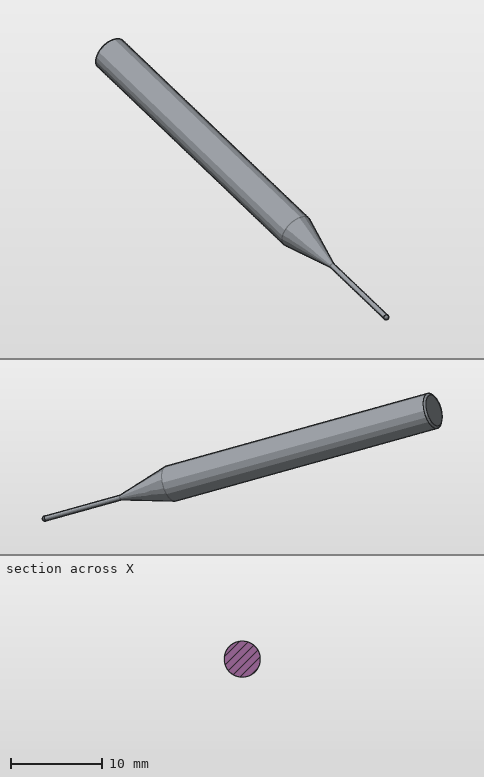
import cadquery as cq
import math

total_length = 50.0
shank_radius = 2.0
chamfer_length = 0.2
chamfer_depth = 0.25

neck_start = 40.0
neck_radius = 0.285

cone_half_angle = 15.0
cone_length = (shank_radius - neck_radius) / math.tan(math.radians(cone_half_angle))
shank_length = neck_start - cone_length

ball_radius = 0.3
head_length = 0.4
head_start = total_length - head_length
ball_start = total_length - ball_radius
ball_mid_offset = ball_radius * math.sin(math.radians(45))

profile = (
    cq.Workplane("XY")
    .moveTo(0, 0)
    .lineTo(0, shank_radius - chamfer_depth)
    .lineTo(chamfer_length, shank_radius)
    .lineTo(shank_length, shank_radius)
    .lineTo(neck_start, neck_radius)
    .lineTo(head_start, neck_radius)
    .lineTo(head_start, ball_radius)
    .lineTo(ball_start, ball_radius)
    .threePointArc((ball_start + ball_mid_offset, ball_mid_offset), (total_length, 0))
    .close()
)

result = profile.revolve(360, (0, 0, 0), (1, 0, 0))